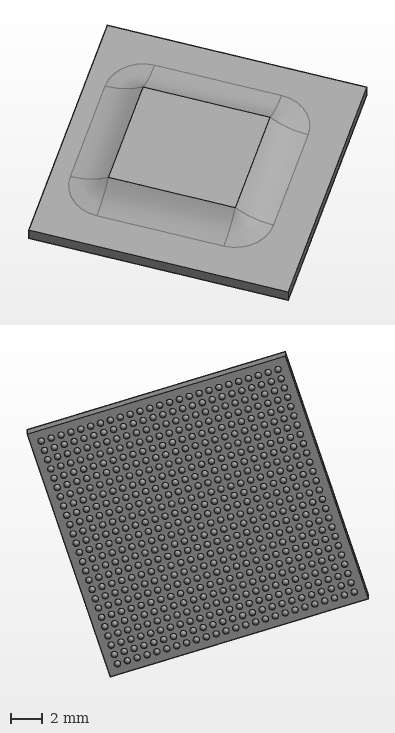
import cadquery as cq
import math

board_side = 17.0
board_thickness = 0.85

balls_per_side = 25
ball_pitch = 0.65
ball_diameter = 0.4

cover_length = 8.31
cover_width = 7.5
cover_height = 0.85
cover_center_x = -0.58
cover_center_y = 0.07
skirt_reach = 2.5

half_length = cover_length / 2
half_width = cover_width / 2
skirt_radius = (skirt_reach**2 + cover_height**2) / (2 * cover_height)


def skirt_profile(workplane):
    """Section of the skirt: x = 0 at the flat top's edge, y = 0 on the board."""
    middle_reach = skirt_reach / 2
    middle_height = skirt_radius - math.sqrt(skirt_radius**2 - middle_reach**2)
    return (
        workplane.lineTo(skirt_reach, 0)
        .threePointArc((skirt_reach - middle_reach, middle_height), (0, cover_height))
        .close()
    )


def skirt_side(turn, distance, length):
    """Straight stretch of skirt along one edge of the flat top, facing the angle `turn`."""
    side = skirt_profile(cq.Workplane("XZ")).extrude(length / 2, both=True)
    return side.translate((distance, 0, 0)).rotate((0, 0, 0), (0, 0, 1), turn)


def skirt_corner(x, y):
    """Skirt turned around one corner of the flat top."""
    corner = skirt_profile(cq.Workplane("XZ")).revolve(360, (0, 0), (0, 1))
    return corner.translate((x, y, 0))


def make_cover():
    """Flat-topped block with the flared skirt all around it."""
    cover = cq.Workplane("XY").box(cover_length, cover_width, cover_height, centered=(True, True, False))
    for turn in (0, 180):
        cover = cover.union(skirt_side(turn, half_length, cover_width))
    for turn in (90, 270):
        cover = cover.union(skirt_side(turn, half_width, cover_length))
    for x in (-half_length, half_length):
        for y in (-half_width, half_width):
            cover = cover.union(skirt_corner(x, y))
    return cover.translate((cover_center_x, cover_center_y, board_thickness))


def make_balls():
    """Solder balls centred on the board's underside, so that each shows as a hemisphere."""
    ball = cq.Workplane("XY").sphere(ball_diameter / 2).val()
    return (
        cq.Workplane("XY")
        .rarray(ball_pitch, ball_pitch, balls_per_side, balls_per_side)
        .eachpoint(lambda place: ball.moved(place), combine=False)
    )


board = cq.Workplane("XY").box(board_side, board_side, board_thickness, centered=(True, True, False))
result = board.union(make_cover()).union(make_balls())